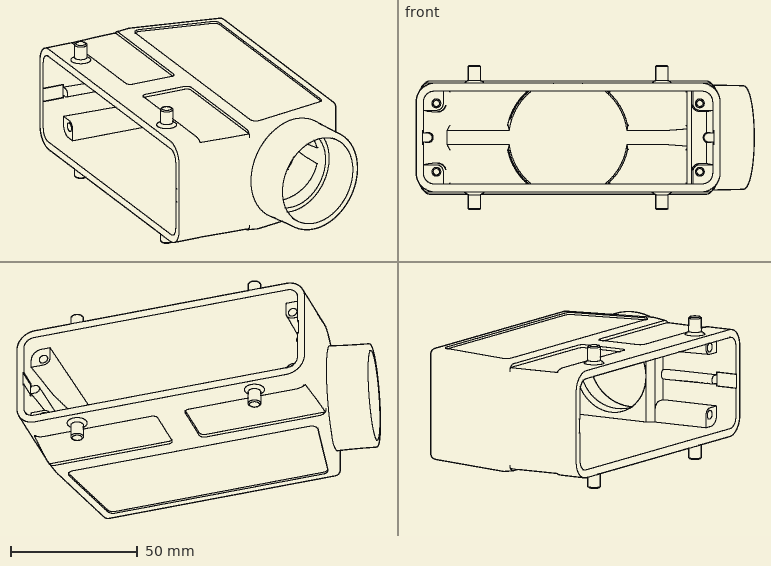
import cadquery as cq
import math


mouth_width = 120.0
mouth_height = 43.0
mouth_corner_radius = 7.5
collar_top = 11.2
waist_width = 116.0
waist_y = 32.3
shoulder_y = 37.0
body_height = 44.8
roof_y = 75.9
end_lean = math.radians(11.4)
edge_radius = 2.5

gland_tip_diameter = 41.0
gland_half_taper = math.radians(1.1)
gland_tip_x = 69.6
gland_tip_y = 56.57
gland_length = 20.0
gland_edge = 0.6
thread_diameter = 35.6
thread_depth = 15.0
bore_diameter = 32.0
bore_length = 33.0

cavity_mouth_half = 57.1
cavity_height = 36.6
cavity_corner_radius = 4.2
cavity_bend_start = 9.0
cavity_bend_half = 55.1
cavity_bend_end = 30.0
ceiling_y = 71.0
ledge_y = 32.5
ledge_inner_x = 48.8
gland_wall_x = 46.9
gland_wall_y = 35.5

raised_y = 66.5
disc_radius = 23.4
disc_draft = 8.0
strip_width = 5.6
strip_flank_lean = math.radians(22)
ceiling_edge_radius = 0.4

inner_parts_y = 9.0
boss_x = 52.0
boss_z = 13.5
boss_radius = 2.75
boss_draft = 1.2
boss_root_y = 66.0
screw_hole_mouth_diameter = 3.5
screw_hole_bottom_diameter = 2.5
screw_hole_depth = 15.0
rib_x = 55.4
rib_radius = 1.75
rib_root_y = 40.0
rib_draft = 0.8
key_slot_width = 5.6
key_slot_depth = 0.4

pin_x = 37.0
pin_y = 6.3
pin_diameter = 5.0
pin_tip_z = 28.5
pin_chamfer = 0.5
pin_foot_diameter = 7.9
pin_foot_z = 22.6

panel_margin = 4.6
panel_depth = 0.8
panel_radius = 2.5
panel_top = 71.3
grip_gap = 11.4
grip_floor_z = 20.3
grip_radius = 2.0

SIDES = (-1, 1)


def section(width, height, radius):
    """Rounded rectangle centred on the origin."""
    return cq.Sketch().rect(width, height).vertices().fillet(radius)


def plane_at(y):
    """XZ workplane at the given Y; negative extrusions go toward the roof."""
    return cq.Workplane("XZ", origin=(0, y, 0))


def body_half_width(y):
    """Half width of the upper body at height y."""
    return waist_width / 2 - (y - waist_y) * math.tan(end_lean)


def outer_shell():
    """Straight collar, blended middle and thicker upper body with leaning ends."""
    mouth = section(mouth_width, mouth_height, mouth_corner_radius)
    collar = plane_at(0).placeSketch(mouth).extrude(-collar_top)

    waist = section(waist_width, mouth_height, edge_radius)
    waist = waist.moved(cq.Location(cq.Vector(0, 0, collar_top - waist_y)))
    middle = plane_at(collar_top).placeSketch(mouth, waist).loft()

    waist_half = waist_width / 2
    roof_half = body_half_width(roof_y)
    trapezoid = [(-waist_half, waist_y), (waist_half, waist_y), (roof_half, roof_y), (-roof_half, roof_y)]
    plan = cq.Workplane("XY").polyline(trapezoid).close().extrude(body_height / 2, both=True)
    waist_z = mouth_height / 2
    body_z = body_height / 2
    profile = [
        (waist_y, -waist_z), (shoulder_y, -body_z), (roof_y, -body_z),
        (roof_y, body_z), (shoulder_y, body_z), (waist_y, waist_z),
    ]
    side = cq.Workplane("YZ").polyline(profile).close().extrude(mouth_width / 2, both=True)
    upper = plan.intersect(side)
    upper = upper.edges("(not (|X or <Y)) or >Y").fillet(edge_radius)
    return collar.union(middle).union(upper)


def gland_plane():
    """Plane on the gland tip whose normal points back into the housing."""
    inward = (-math.cos(end_lean), -math.sin(end_lean), 0)
    return cq.Plane(origin=(gland_tip_x, gland_tip_y, 0), xDir=(0, 0, 1), normal=inward)


def gland():
    """Slightly conical socket with a rounded tip edge."""
    tip_radius = gland_tip_diameter / 2
    root_radius = tip_radius + gland_length * math.tan(gland_half_taper)
    cone = cq.Solid.makeCone(tip_radius, root_radius, gland_length)
    cone = cq.Workplane(cone).faces("<Z").edges().fillet(gland_edge)
    return cq.Workplane(cone.val().moved(cq.Location(gland_plane())))


def gland_bore():
    """Wide bore at the gland tip over a narrower one that opens into the cavity."""
    bore = cq.Workplane(gland_plane()).circle(bore_diameter / 2).extrude(bore_length)
    thread = cq.Workplane(gland_plane()).circle(thread_diameter / 2).extrude(thread_depth)
    return bore.union(thread)


def cavity():
    """Hollow tapering toward the roof, stepped in on +X behind the gland."""
    left_ceiling = cavity_bend_half - (ceiling_y - cavity_bend_end) * math.tan(end_lean)
    ledge_outer = cavity_bend_half - (ledge_y - cavity_bend_end) * math.tan(end_lean)
    points = [
        (-cavity_mouth_half, 0), (cavity_mouth_half, 0),
        (cavity_mouth_half, cavity_bend_start), (cavity_bend_half, cavity_bend_end),
        (ledge_outer, ledge_y), (ledge_inner_x, ledge_y),
        (gland_wall_x, gland_wall_y), (gland_wall_x, ceiling_y), (-left_ceiling, ceiling_y),
        (-cavity_bend_half, cavity_bend_end), (-cavity_mouth_half, cavity_bend_start),
    ]
    plan = cq.Workplane("XY").polyline(points).close().extrude(cavity_height / 2, both=True)
    rounded = section(2 * cavity_mouth_half, cavity_height, cavity_corner_radius)
    return plan.intersect(plane_at(0).placeSketch(rounded).extrude(-ceiling_y))


def raised_ceiling():
    """Disc and lengthwise strip that stand down from the cavity ceiling."""
    height = ceiling_y - raised_y
    disc = plane_at(raised_y).circle(disc_radius).extrude(-height, taper=-disc_draft)
    top_z = strip_width / 2
    root_z = top_z + height * math.tan(strip_flank_lean)
    trapezoid = [(raised_y, -top_z), (raised_y, top_z), (ceiling_y, root_z), (ceiling_y, -root_z)]
    strip = cq.Workplane("YZ").polyline(trapezoid).close().extrude(cavity_mouth_half, both=True)
    return disc.union(strip)


def boss(side_x, side_z):
    """Screw boss block, filling the corner of the cavity beyond its screw axis."""
    root_y = boss_root_y if side_x < 0 else ledge_y
    inner_x = boss_x - boss_radius
    inner_z = boss_z - boss_radius
    width = mouth_width / 2 - inner_x
    height = mouth_height / 2 - inner_z
    outline = section(width, height, boss_radius)
    centre = cq.Location(cq.Vector(side_x * (inner_x + width / 2), side_z * (inner_z + height / 2), 0))
    depth = root_y - inner_parts_y
    return plane_at(inner_parts_y).placeSketch(outline.moved(centre)).extrude(-depth, taper=-boss_draft)


def screw_hole(side_x, side_z):
    """Blind hole narrowing from the boss front to its bottom."""
    mouth_centre = cq.Vector(side_x * boss_x, inner_parts_y, side_z * boss_z)
    toward_roof = cq.Vector(0, 1, 0)
    mouth_radius = screw_hole_mouth_diameter / 2
    bottom_radius = screw_hole_bottom_diameter / 2
    hole = cq.Solid.makeCone(mouth_radius, bottom_radius, screw_hole_depth, mouth_centre, toward_roof)
    return cq.Workplane(hole)


def guide_rib(side_x):
    """Round-nosed rib standing on the middle of a cavity end wall."""
    depth = rib_root_y - inner_parts_y
    start = plane_at(inner_parts_y)
    nose = start.center(side_x * rib_x, 0).circle(rib_radius).extrude(-depth, taper=-rib_draft)
    web_width = mouth_width / 2 - rib_x
    web = start.center(side_x * (rib_x + web_width / 2), 0).rect(web_width, 2 * rib_radius)
    web = web.extrude(-depth, taper=-rib_draft)
    return nose.union(web)


def key_slots():
    width = 2 * (cavity_mouth_half + key_slot_depth)
    return plane_at(0).rect(width, key_slot_width).extrude(-inner_parts_y)


def pin(x, side_z):
    """Locking pin on a conical foot."""
    face_z = mouth_height / 2
    half_foot = pin_foot_diameter / 2
    half_pin = pin_diameter / 2
    points = [
        (0, face_z), (half_foot, face_z), (half_pin, pin_foot_z),
        (half_pin, pin_tip_z - pin_chamfer), (half_pin - pin_chamfer, pin_tip_z), (0, pin_tip_z),
    ]
    upright = cq.Workplane("XZ").polyline(points).close().revolve(360, (0, 0, 0), (0, 1, 0))
    if side_z < 0:
        upright = upright.rotate((0, 0, 0), (1, 0, 0), 180)
    return upright.translate((x, pin_y, 0))


def mirrored(cutter):
    return cutter.union(cutter.mirror("XY"))


def panel_recess():
    bottom_half = body_half_width(shoulder_y) - panel_margin
    top_half = body_half_width(panel_top) - panel_margin
    corners = [
        (-bottom_half, shoulder_y), (bottom_half, shoulder_y), (top_half, panel_top), (-top_half, panel_top),
    ]
    floor = cq.Workplane("XY", origin=(0, 0, body_height / 2 - panel_depth))
    recess = floor.polyline(corners).close().extrude(2 * panel_depth)
    return mirrored(recess.edges("|Z").fillet(panel_radius))


def grip_recess(side_x):
    """Flat beside the pins, closed at the middle web and open at the housing end."""
    inner_x = grip_gap / 2
    width = mouth_width / 2 - inner_x
    height = waist_y - collar_top
    centre = (side_x * (inner_x + width / 2), collar_top + height / 2, grip_floor_z)
    block = cq.Workplane("XY", origin=centre).rect(width, height).extrude(body_height / 2 - grip_floor_z)
    inner_edges = "|Z and <X" if side_x > 0 else "|Z and >X"
    return mirrored(block.edges(inner_edges).fillet(grip_radius))


outer = outer_shell()
hollow = cavity().cut(raised_ceiling())
hollow = hollow.faces(">Y").edges().fillet(ceiling_edge_radius)
for side_x in SIDES:
    hollow = hollow.cut(guide_rib(side_x))
    for side_z in SIDES:
        hollow = hollow.cut(boss(side_x, side_z))

result = outer.union(gland()).cut(hollow).cut(gland_bore()).cut(key_slots()).cut(panel_recess())
for side_x in SIDES:
    result = result.cut(grip_recess(side_x))
    for side_z in SIDES:
        result = result.cut(screw_hole(side_x, side_z))
        result = result.union(pin(side_x * pin_x, side_z))